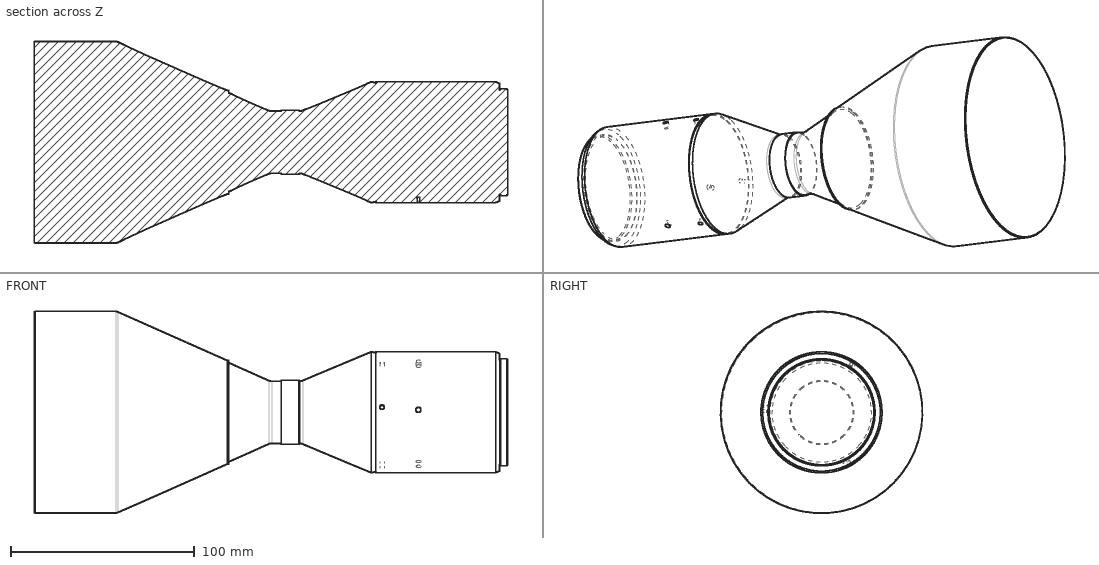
import cadquery as cq
import math

total_length = 257.8
head_end = 45.5
front_cone_end = 106.0
front_neck_cone_end = 127.6
collar_start = 134.4
collar_end = 144.5
rear_cone_end = 183.5
barrel_start = 185.9
barrel_end = 253.3

head_radius = 55.0
front_cone_end_radius = 28.2
front_neck_cone_start_radius = 27.0
neck_radius = 17.0
collar_radius = 17.5
barrel_radius = 33.0
spigot_radius = 29.2

neck_blend_radius = 4.0
neck_blend_angle = math.radians(24)
neck_blend_length = neck_blend_radius * math.sin(neck_blend_angle)
neck_blend_rise = neck_blend_radius * (1 - math.cos(neck_blend_angle))
neck_blend_mid_length = neck_blend_radius * math.sin(neck_blend_angle / 2)
neck_blend_mid_rise = neck_blend_radius * (1 - math.cos(neck_blend_angle / 2))
neck_start = front_neck_cone_end + neck_blend_length

face_chamfer = 0.5
head_chamfer_length = 1.0
head_chamfer_depth = 0.3
cone_rim_width = 0.8
collar_chamfer = 0.5
barrel_groove_depth = 0.6
barrel_chamfer_length = 2.2
barrel_chamfer_depth = 1.0
spigot_chamfer = 0.7

hole_count = 3
hole_depth = 3.0
front_hole_diameter = 2.4
front_ring_x = 189.3
front_ring_angle = 175.0
rear_hole_diameter = 2.8
rear_ring_x = 209.1
rear_ring_angle = 177.5


def make_body():
    """Solid of revolution about X; each profile point is (x, radius)."""
    profile = (
        cq.Workplane("XZ")
        .moveTo(0, 0)
        .lineTo(0, head_radius - face_chamfer)
        .lineTo(face_chamfer, head_radius)
        .lineTo(head_end - head_chamfer_length, head_radius)
        .lineTo(head_end, head_radius - head_chamfer_depth)
        .lineTo(front_cone_end - cone_rim_width, front_cone_end_radius)
        .lineTo(front_cone_end, front_cone_end_radius)
        .lineTo(front_cone_end, front_neck_cone_start_radius)
        .lineTo(front_neck_cone_end, neck_radius + neck_blend_rise)
        .threePointArc(
            (neck_start - neck_blend_mid_length, neck_radius + neck_blend_mid_rise),
            (neck_start, neck_radius),
        )
        .lineTo(collar_start, neck_radius)
        .lineTo(collar_start, collar_radius)
        .lineTo(collar_end - collar_chamfer, collar_radius)
        .lineTo(collar_end, collar_radius - collar_chamfer)
        .threePointArc(
            (collar_end + neck_blend_mid_length, neck_radius + neck_blend_mid_rise),
            (collar_end + neck_blend_length, neck_radius + neck_blend_rise),
        )
        .lineTo(rear_cone_end, barrel_radius)
        .lineTo(barrel_start, barrel_radius - barrel_groove_depth)
        .lineTo(barrel_start, barrel_radius)
        .lineTo(barrel_end - barrel_chamfer_length, barrel_radius)
        .lineTo(barrel_end, barrel_radius - barrel_chamfer_depth)
        .lineTo(barrel_end, spigot_radius - spigot_chamfer)
        .lineTo(barrel_end + spigot_chamfer, spigot_radius)
        .lineTo(total_length - spigot_chamfer, spigot_radius)
        .lineTo(total_length, spigot_radius - spigot_chamfer)
        .lineTo(total_length, 0)
        .close()
    )
    return profile.revolve(360, (0, 0, 0), (1, 0, 0))


def make_hole_ring(x, diameter, first_angle):
    """Radial drill cutters evenly spaced around the barrel at station x."""
    ring = cq.Workplane("XY")
    for index in range(hole_count):
        angle = math.radians(first_angle + index * 360 / hole_count)
        outward = cq.Vector(0, math.cos(angle), math.sin(angle))
        floor = cq.Vector(x, 0, 0) + outward * (barrel_radius - hole_depth)
        cutter = cq.Solid.makeCylinder(diameter / 2, 2 * hole_depth, floor, outward)
        ring = ring.add(cutter)
    return ring.combine()


front_ring = make_hole_ring(front_ring_x, front_hole_diameter, front_ring_angle)
rear_ring = make_hole_ring(rear_ring_x, rear_hole_diameter, rear_ring_angle)
result = make_body().cut(front_ring).cut(rear_ring)